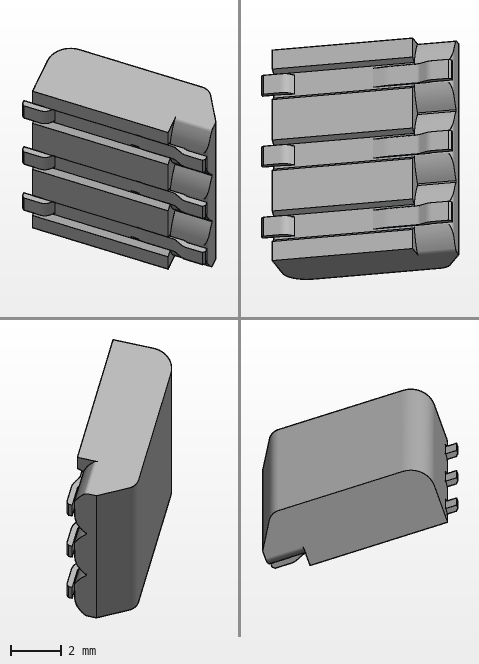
import cadquery as cq
import math

LENGTH_X = 7.85
DEPTH_Y = 2.7
HEIGHT_Z = 8.9

BODY_LEFT = 0.445
BODY_FRONT = 0.05
STEP_X = 6.26
BACK_LEFT_RADIUS = 1.0
BACK_RIGHT_RADIUS = 0.55
SLANT_START_Y = 1.25
SLANT_ANGLE = math.radians(60)
SLANT_RUN = (DEPTH_Y - SLANT_START_Y) / math.tan(SLANT_ANGLE)

PITCH = 3.0
CONTACT_POSITIONS = [-PITCH, 0.0, PITCH]
FLOOR_Y = 0.3
GROOVE_FLOOR_WIDTH = 1.0
GROOVE_MOUTH_WIDTH = 1.29

LOBE_RADIUS = 2.18
LOBE_FLAT_WIDTH = 0.93
LOBE_CENTER_Y = FLOOR_Y + math.sqrt(LOBE_RADIUS**2 - (LOBE_FLAT_WIDTH / 2) ** 2)
VALLEY_Y = 0.82
EDGE_ROUND = 0.2

STRIP_WIDTH = 0.8
STRIP_THICKNESS = 0.25
TIP_CHAMFER = 0.1
BEND_OUTER_RADIUS = 2 * STRIP_THICKNESS
BEND_INNER_RADIUS = BEND_OUTER_RADIUS - STRIP_THICKNESS
EMBED_Y = FLOOR_Y + STRIP_THICKNESS

REAR_BEND_X = 0.8
REAR_ANGLE = math.radians(45)

FRONT_BEND_X = 7.04
FRONT_ANGLE = math.radians(26)
SHELF_Y = 0.22
SHELF_LEFT = 5.26
RAMP_TOP_X = 5.03
RAMP_END_X = 4.57


def on_arc(center, radius, angle):
    """Point on an arc, with the angle measured from -Y towards +X."""
    return (center[0] + radius * math.sin(angle), center[1] - radius * math.cos(angle))


def extrude_centered(outline, z_center, width):
    return outline.extrude(width / 2, both=True).translate((0, 0, z_center))


def make_housing():
    outline = (
        cq.Workplane("XY")
        .moveTo(BODY_LEFT, BODY_FRONT)
        .lineTo(STEP_X, BODY_FRONT)
        .lineTo(STEP_X, FLOOR_Y)
        .lineTo(LENGTH_X - EDGE_ROUND, FLOOR_Y)
        .radiusArc((LENGTH_X, FLOOR_Y + EDGE_ROUND), -EDGE_ROUND)
        .lineTo(LENGTH_X, SLANT_START_Y)
        .lineTo(LENGTH_X - SLANT_RUN, DEPTH_Y)
        .lineTo(BODY_LEFT, DEPTH_Y)
        .close()
    )
    housing = extrude_centered(outline, 0, HEIGHT_Z)
    back_edges = housing.faces(">Y").edges("|Z")
    housing = back_edges.edges("<X").fillet(BACK_LEFT_RADIUS)
    return housing.faces(">Y").edges("|Z").edges(">X").fillet(BACK_RIGHT_RADIUS)


def cut_grooves(housing):
    floor_half = GROOVE_FLOOR_WIDTH / 2
    mouth_half = GROOVE_MOUTH_WIDTH / 2
    for z in CONTACT_POSITIONS:
        groove = (
            cq.Workplane("YZ")
            .polyline([
                (BODY_FRONT, z - mouth_half),
                (FLOOR_Y, z - floor_half),
                (FLOOR_Y, z + floor_half),
                (BODY_FRONT, z + mouth_half),
            ])
            .close()
            .extrude(STEP_X)
        )
        housing = housing.cut(groove)
    return housing


def cut_lobes(housing):
    """Cut the valleys between the lobes and round the two outermost lobe edges."""
    span = LENGTH_X - STEP_X
    valleys = cq.Workplane("XY").box(span, VALLEY_Y, HEIGHT_Z, centered=(False, False, True))
    valleys = valleys.translate((STEP_X, 0, 0))
    for z in CONTACT_POSITIONS:
        lobe = cq.Workplane("YZ", origin=(STEP_X, LOBE_CENTER_Y, z)).circle(LOBE_RADIUS).extrude(span)
        valleys = valleys.cut(lobe)
    housing = housing.cut(valleys)
    end_edges = cq.selectors.BoxSelector(
        (STEP_X, FLOOR_Y, -HEIGHT_Z), (LENGTH_X, VALLEY_Y, HEIGHT_Z)
    )
    for end in ("<Z", ">Z"):
        housing = housing.faces(end).edges("|X").edges(end_edges).fillet(EDGE_ROUND)
    return housing


def rear_contact(z):
    """Flat tail that bends steeply up into the groove floor."""
    center = (REAR_BEND_X, BEND_OUTER_RADIUS)
    outer_end = on_arc(center, BEND_OUTER_RADIUS, REAR_ANGLE)
    inner_end = on_arc(center, BEND_INNER_RADIUS, REAR_ANGLE)
    rise = FLOOR_Y - outer_end[1]
    floor_x = outer_end[0] + rise / math.tan(REAR_ANGLE)
    outline = (
        cq.Workplane("XY")
        .moveTo(0, TIP_CHAMFER)
        .lineTo(TIP_CHAMFER, 0)
        .lineTo(REAR_BEND_X, 0)
        .threePointArc(on_arc(center, BEND_OUTER_RADIUS, REAR_ANGLE / 2), outer_end)
        .lineTo(floor_x, FLOOR_Y)
        .lineTo(floor_x, EMBED_Y)
        .lineTo(inner_end[0], EMBED_Y)
        .lineTo(*inner_end)
        .threePointArc(
            on_arc(center, BEND_INNER_RADIUS, REAR_ANGLE / 2), (REAR_BEND_X, STRIP_THICKNESS)
        )
        .lineTo(0, STRIP_THICKNESS)
        .close()
    )
    return extrude_centered(outline, z, STRIP_WIDTH)


def front_contact(z):
    """Flat tail stepped up to a shelf, which ramps gently into the groove floor."""
    tail_center = (FRONT_BEND_X, BEND_OUTER_RADIUS)
    tail_outer = on_arc(tail_center, BEND_OUTER_RADIUS, -FRONT_ANGLE)
    tail_inner = on_arc(tail_center, BEND_INNER_RADIUS, -FRONT_ANGLE)

    shelf_center_y = SHELF_Y - BEND_INNER_RADIUS
    slope_top_y = shelf_center_y + BEND_INNER_RADIUS * math.cos(FRONT_ANGLE)
    slope_top_x = tail_outer[0] - (slope_top_y - tail_outer[1]) / math.tan(FRONT_ANGLE)
    shelf_center = (slope_top_x - BEND_INNER_RADIUS * math.sin(FRONT_ANGLE), shelf_center_y)
    shelf_bend_middle = on_arc(shelf_center, BEND_INNER_RADIUS, math.pi - FRONT_ANGLE / 2)

    arc_run = SHELF_LEFT - RAMP_TOP_X
    ramp_slope = (FLOOR_Y - SHELF_Y) / (RAMP_TOP_X - RAMP_END_X + arc_run / 2)
    ramp_angle = math.atan(ramp_slope)
    ramp_radius = arc_run / math.sin(ramp_angle)
    ramp_center = (SHELF_LEFT, SHELF_Y + ramp_radius)
    ramp_top = on_arc(ramp_center, ramp_radius, -ramp_angle)

    embed_x = tail_inner[0] - (EMBED_Y - tail_inner[1]) / math.tan(FRONT_ANGLE)
    outline = (
        cq.Workplane("XY")
        .moveTo(LENGTH_X, TIP_CHAMFER)
        .lineTo(LENGTH_X - TIP_CHAMFER, 0)
        .lineTo(FRONT_BEND_X, 0)
        .threePointArc(on_arc(tail_center, BEND_OUTER_RADIUS, -FRONT_ANGLE / 2), tail_outer)
        .lineTo(slope_top_x, slope_top_y)
        .threePointArc(shelf_bend_middle, (shelf_center[0], SHELF_Y))
        .lineTo(SHELF_LEFT, SHELF_Y)
        .threePointArc(on_arc(ramp_center, ramp_radius, -ramp_angle / 2), ramp_top)
        .lineTo(RAMP_END_X, FLOOR_Y)
        .lineTo(RAMP_END_X, EMBED_Y)
        .lineTo(embed_x, EMBED_Y)
        .lineTo(*tail_inner)
        .threePointArc(
            on_arc(tail_center, BEND_INNER_RADIUS, -FRONT_ANGLE / 2), (FRONT_BEND_X, STRIP_THICKNESS)
        )
        .lineTo(LENGTH_X, STRIP_THICKNESS)
        .close()
    )
    return extrude_centered(outline, z, STRIP_WIDTH)


result = cut_lobes(cut_grooves(make_housing()))
for position in CONTACT_POSITIONS:
    result = result.union(rear_contact(position)).union(front_contact(position))